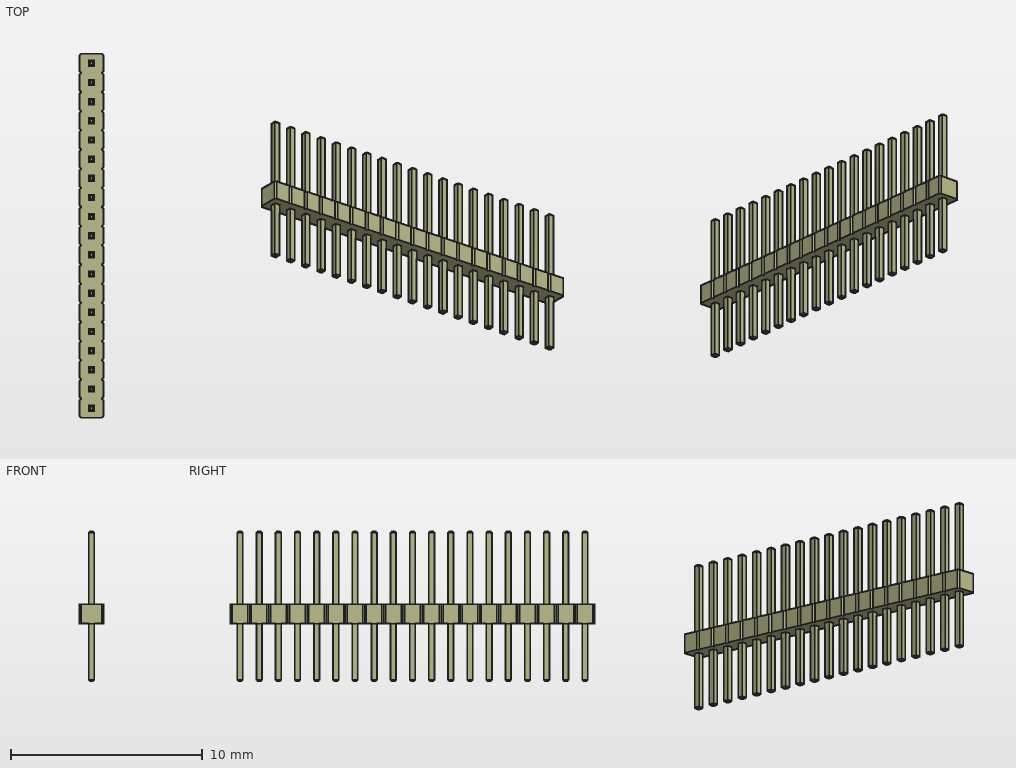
import cadquery as cq


pin_count = 19
row_length = 19.0
pitch = row_length / pin_count
housing_width = 1.27
housing_height = 1.0
cell_chamfer = 0.1

pin_size = 0.3
pin_above = 3.8
pin_below = 3.0
pin_length = pin_below + housing_height + pin_above
tip_chamfer = 0.08


def make_cell():
    """One housing cell with chamfered vertical corners, its underside on Z = 0."""
    block = cq.Workplane("XY").box(housing_width, pitch, housing_height, centered=(True, True, False))
    return block.edges("|Z").chamfer(cell_chamfer)


def make_pin():
    """A square pin through the cell, chamfered all round at both tips."""
    bar = cq.Workplane("XY").box(pin_size, pin_size, pin_length, centered=(True, True, False))
    return bar.faces("<Z or >Z").chamfer(tip_chamfer).translate((0, 0, -pin_below))


contact = make_cell().union(make_pin())

result = cq.Workplane("XY")
for index in range(pin_count):
    y_centre = (index - (pin_count - 1) / 2) * pitch
    result = result.union(contact.translate((0, y_centre, 0)))
result = result.clean()